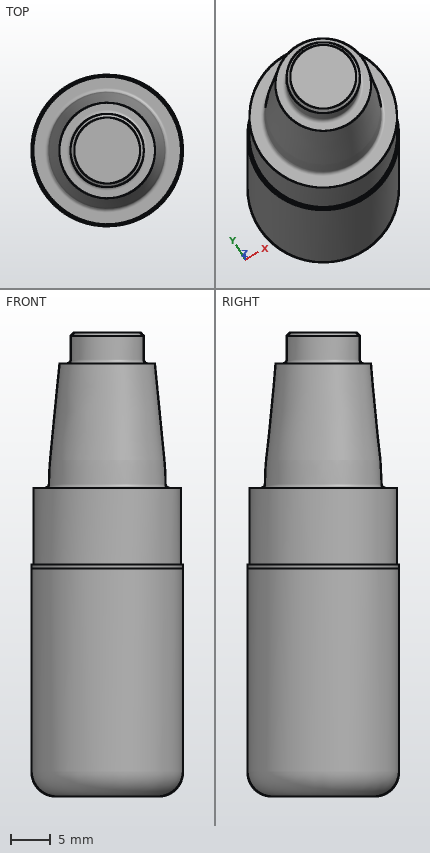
import cadquery as cq
import math

TOTAL_HEIGHT = 58.2

BODY_RADIUS = 19.05 / 2
BARREL_HEIGHT = 28.6
BASE_FILLET = 3.15

FLANGE_THICKNESS = 0.5
FLANGE_TOP = BARREL_HEIGHT + FLANGE_THICKNESS
COLLAR_RADIUS = 18.5 / 2
COLLAR_TOP = 38.7
NOZZLE_BASE_RADIUS = 7.35
NOZZLE_TOP_RADIUS = 6.0
NOZZLE_TOP = 54.3
TAPER_START = 42.2
TIP_RADIUS = 9.2 / 2
TIP_CHAMFER = 0.45
ROOT_FILLET = 0.45

BULGE_START = COLLAR_TOP + ROOT_FILLET
BULGE_HEIGHT = TAPER_START - BULGE_START
TAPER_HEIGHT = NOZZLE_TOP - TAPER_START
TAPER_SLOPE = (NOZZLE_BASE_RADIUS - NOZZLE_TOP_RADIUS) / (TAPER_HEIGHT + BULGE_HEIGHT / 2)
TAPER_BASE_RADIUS = NOZZLE_TOP_RADIUS + TAPER_SLOPE * TAPER_HEIGHT


def fillet_midpoint(wall_radius, floor_z):
    """Middle of the concave root arc between a vertical wall and a flat floor."""
    inset = ROOT_FILLET * (1 - math.sqrt(0.5))
    return (wall_radius + inset, floor_z + inset)


def make_barrel():
    barrel = cq.Workplane("XY").circle(BODY_RADIUS).extrude(BARREL_HEIGHT)
    return barrel.faces("<Z").edges().fillet(BASE_FILLET)


def make_head():
    profile = (
        cq.Workplane("XZ")
        .moveTo(0, BARREL_HEIGHT)
        .lineTo(BODY_RADIUS, BARREL_HEIGHT)
        .lineTo(BODY_RADIUS, FLANGE_TOP)
        .lineTo(COLLAR_RADIUS, FLANGE_TOP)
        .lineTo(COLLAR_RADIUS, COLLAR_TOP)
        .lineTo(NOZZLE_BASE_RADIUS + ROOT_FILLET, COLLAR_TOP)
        .threePointArc(fillet_midpoint(NOZZLE_BASE_RADIUS, COLLAR_TOP), (NOZZLE_BASE_RADIUS, BULGE_START))
        .tangentArcPoint((TAPER_BASE_RADIUS, TAPER_START), relative=False)
        .lineTo(NOZZLE_TOP_RADIUS, NOZZLE_TOP)
        .lineTo(TIP_RADIUS + ROOT_FILLET, NOZZLE_TOP)
        .threePointArc(fillet_midpoint(TIP_RADIUS, NOZZLE_TOP), (TIP_RADIUS, NOZZLE_TOP + ROOT_FILLET))
        .lineTo(TIP_RADIUS, TOTAL_HEIGHT - TIP_CHAMFER)
        .lineTo(TIP_RADIUS - TIP_CHAMFER, TOTAL_HEIGHT)
        .lineTo(0, TOTAL_HEIGHT)
        .close()
    )
    return profile.revolve(360, (0, 0, 0), (0, 1, 0))


barrel = make_barrel()
head = make_head()

result = cq.Compound.makeCompound([barrel.val(), head.val()])